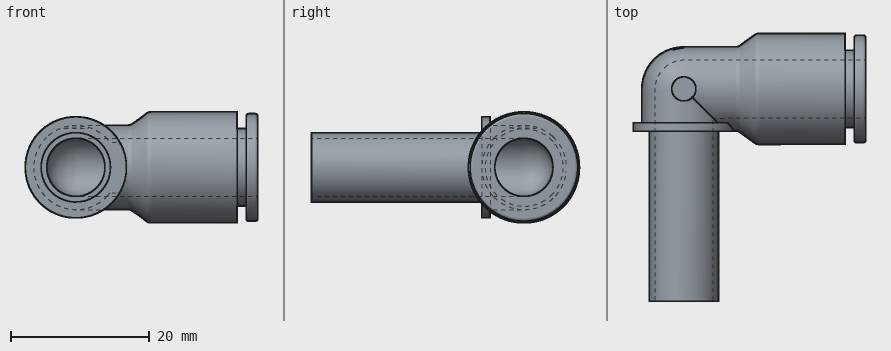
import cadquery as cq

overall_length = 38.6
elbow_radius = 12.15 / 2
bore_radius = 8.38 / 2

flange_radius = 7.3
flange_start = 4.85
flange_thickness = 1.25
stem_radius = 10.0 / 2

socket_radius = 16.0 / 2
cone_start = 7.85
cone_end = 10.5
cone_blend = 0.95
socket_end = 23.25
groove_radius = 5.6
collar_radius = 7.75
collar_start = 24.5
collar_end = 26.2
collar_edge = 0.42

stem_end = overall_length - socket_radius

badge_radius = 1.75
badge_floor = 5.6


def along_x(radius, start, end):
    return cq.Workplane("YZ").workplane(offset=start).circle(radius).extrude(end - start)


def along_minus_y(radius, start, end):
    return cq.Workplane("XZ").workplane(offset=start).circle(radius).extrude(end - start)


def make_socket():
    """Neck, blended cone and sleeve, revolved about the X axis."""
    profile = [
        (0, 0),
        (0, elbow_radius),
        (cone_start, elbow_radius),
        (cone_end, socket_radius),
        (socket_end, socket_radius),
        (socket_end, 0),
    ]
    body = cq.Workplane("XY").polyline(profile).close().revolve(360, (0, 0, 0), (1, 0, 0))
    cone_edges = cq.selectors.BoxSelector(
        (cone_start - 0.4, -socket_radius, -socket_radius),
        (cone_end + 0.4, socket_radius, socket_radius),
        boundingbox=False,
    )
    return body.edges(cone_edges).edges("%CIRCLE").fillet(cone_blend)


def make_collar():
    """Release collar on a narrower groove section."""
    groove = along_x(groove_radius, socket_end, collar_start)
    collar = along_x(collar_radius, collar_start, collar_end)
    return groove.union(collar.edges("%CIRCLE").fillet(collar_edge))


def make_stem():
    elbow_leg = along_minus_y(elbow_radius, 0, flange_start)
    flange_end = flange_start + flange_thickness
    flange = along_minus_y(flange_radius, flange_start, flange_end)
    tube = along_minus_y(stem_radius, flange_end, stem_end)
    return elbow_leg.union(flange).union(tube)


def make_bore():
    """Passage through both legs with a spherical turn at the elbow."""
    turn = cq.Workplane("XY").sphere(bore_radius)
    return turn.union(along_x(bore_radius, 0, collar_end)).union(along_minus_y(bore_radius, 0, stem_end))


outside = cq.Workplane("XY").sphere(elbow_radius)
outside = outside.union(make_socket()).union(make_collar()).union(make_stem())

badge_recess = (
    cq.Workplane("XY").workplane(offset=badge_floor).circle(badge_radius).extrude(elbow_radius - badge_floor)
)

result = outside.cut(make_bore()).cut(badge_recess)